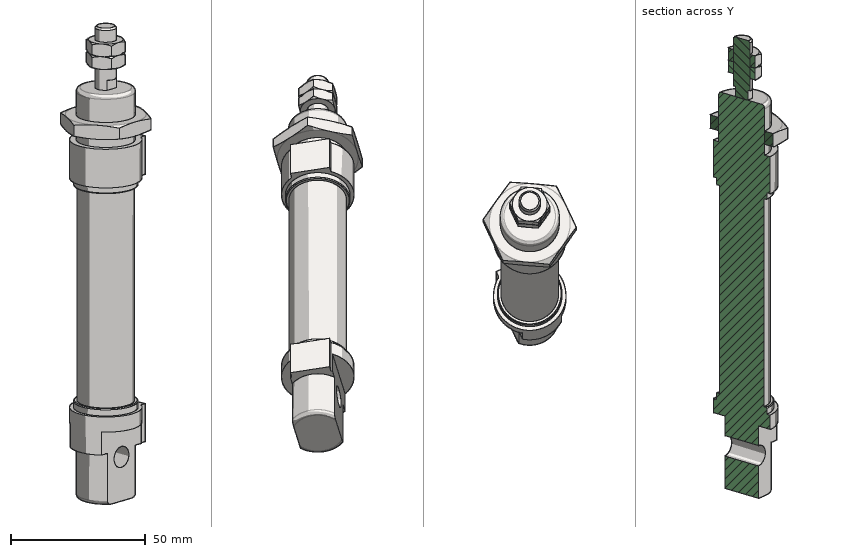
import cadquery as cq
import math

TOTAL_HEIGHT = 182.0
HEAD_TOP = 158.2
FRONT_CAP_TOP = 138.1
FRONT_CAP_BOTTOM = 123.2
REAR_CAP_TOP = 34.8
REAR_CAP_BOTTOM = 20.0
COLLAR_HEIGHT = 2.7
COLLAR_CHAMFER = 0.4
TONGUE_TOP = 29.0
PIVOT_HEIGHT = 17.1

TUBE_DIAMETER = 21.5
COLLAR_DIAMETER = 24.0
CAP_DIAMETER = 27.0
HEAD_DIAMETER = 22.0
END_FILLET = 1.5
SIDE_BOSS_WIDTH = 15.0
TONGUE_THICKNESS = 16.0
PIVOT_DIAMETER = 8.0

ROD_DIAMETER = 8.0
ROD_END_DIAMETER = 6.7
ROD_CHAMFER_HEIGHT = 0.7
ROD_FLAT_HEIGHT = 3.8
ROD_ACROSS_FLATS = 6.2

MOUNT_NUT_BOTTOM = 142.3
MOUNT_NUT_HEIGHT = 5.5
MOUNT_NUT_ACROSS_FLATS = 30.0
MOUNT_NUT_CHAMFER_ANGLE = 15
ROD_NUT_BOTTOM = 166.9
ROD_NUT_HEIGHT = 5.0
ROD_NUT_ACROSS_FLATS = 13.0
ROD_NUT_CHAMFER_ANGLE = 30
ROD_NUT_COUNT = 2


def make_housing():
    """Tube with its two end caps, round head and flat-sided pivot tongue."""
    head_radius = HEAD_DIAMETER / 2
    cap_radius = CAP_DIAMETER / 2
    tube_radius = TUBE_DIAMETER / 2
    collar_radius = COLLAR_DIAMETER / 2
    collar_edge_radius = collar_radius - COLLAR_CHAMFER
    rear_collar_top = REAR_CAP_TOP + COLLAR_HEIGHT
    front_collar_bottom = FRONT_CAP_BOTTOM - COLLAR_HEIGHT
    profile = [
        (0, 0),
        (head_radius, 0),
        (head_radius, REAR_CAP_BOTTOM),
        (cap_radius, REAR_CAP_BOTTOM),
        (cap_radius, REAR_CAP_TOP),
        (collar_radius, REAR_CAP_TOP),
        (collar_radius, rear_collar_top - COLLAR_CHAMFER),
        (collar_edge_radius, rear_collar_top),
        (tube_radius, rear_collar_top),
        (tube_radius, front_collar_bottom),
        (collar_edge_radius, front_collar_bottom),
        (collar_radius, front_collar_bottom + COLLAR_CHAMFER),
        (collar_radius, FRONT_CAP_BOTTOM),
        (cap_radius, FRONT_CAP_BOTTOM),
        (cap_radius, FRONT_CAP_TOP),
        (head_radius, FRONT_CAP_TOP),
        (head_radius, HEAD_TOP),
        (0, HEAD_TOP),
    ]
    body = cq.Workplane("XZ").polyline(profile).close().revolve(360, (0, 0), (0, 1))
    body = body.faces("<Z or >Z").edges().fillet(END_FILLET)
    body = body.union(side_boss(FRONT_CAP_BOTTOM, FRONT_CAP_TOP))
    body = body.union(side_boss(REAR_CAP_BOTTOM, REAR_CAP_TOP))
    for side in (-1, 1):
        body = body.cut(side_cut(side, TONGUE_THICKNESS, 0, TONGUE_TOP))
    pivot_hole = (
        cq.Workplane("YZ")
        .center(0, PIVOT_HEIGHT)
        .circle(PIVOT_DIAMETER / 2)
        .extrude(CAP_DIAMETER, both=True)
    )
    return body.cut(pivot_hole)


def side_boss(bottom, top):
    """Flat-faced block that squares off the +Y side of an end cap."""
    depth = CAP_DIAMETER / 2
    return (
        cq.Workplane("XY", origin=(0, depth / 2, bottom))
        .rect(SIDE_BOSS_WIDTH, depth)
        .extrude(top - bottom)
    )


def side_cut(side, across_flats, bottom, top):
    """Block that leaves a flat at half of across_flats on the given X side."""
    size = 2 * CAP_DIAMETER
    return (
        cq.Workplane("XY", origin=(side * (across_flats + size) / 2, 0, bottom))
        .rect(size, size)
        .extrude(top - bottom)
    )


def make_rod():
    """Piston rod standing on the head, with wrench flats and a chamfered tip."""
    radius = ROD_DIAMETER / 2
    profile = [
        (0, HEAD_TOP),
        (radius, HEAD_TOP),
        (radius, TOTAL_HEIGHT - ROD_CHAMFER_HEIGHT),
        (ROD_END_DIAMETER / 2, TOTAL_HEIGHT),
        (0, TOTAL_HEIGHT),
    ]
    rod = cq.Workplane("XZ").polyline(profile).close().revolve(360, (0, 0), (0, 1))
    for side in (-1, 1):
        rod = rod.cut(side_cut(side, ROD_ACROSS_FLATS, HEAD_TOP, HEAD_TOP + ROD_FLAT_HEIGHT))
    return rod


def make_nut(across_flats, height, chamfer_angle, bore_diameter, bottom):
    """Hexagon nut with corners on the Y axis, both ends chamfered by a cone."""
    face_radius = across_flats / 2
    corner_radius = face_radius / math.cos(math.pi / 6)
    chamfer_height = (corner_radius - face_radius) * math.tan(math.radians(chamfer_angle))
    hexagon = (
        cq.Workplane("XY")
        .polygon(6, 2 * corner_radius)
        .extrude(height)
        .rotate((0, 0, 0), (0, 0, 1), 30)
    )
    chamfer_profile = [
        (0, 0),
        (face_radius, 0),
        (corner_radius, chamfer_height),
        (corner_radius, height - chamfer_height),
        (face_radius, height),
        (0, height),
    ]
    envelope = cq.Workplane("XZ").polyline(chamfer_profile).close().revolve(360, (0, 0), (0, 1))
    bore = cq.Workplane("XY").circle(bore_diameter / 2).extrude(height)
    return hexagon.intersect(envelope).cut(bore).translate((0, 0, bottom))


housing = make_housing()
piston_rod = make_rod()
mounting_nut = make_nut(
    MOUNT_NUT_ACROSS_FLATS, MOUNT_NUT_HEIGHT, MOUNT_NUT_CHAMFER_ANGLE, HEAD_DIAMETER, MOUNT_NUT_BOTTOM
)
rod_nuts = []
for index in range(ROD_NUT_COUNT):
    nut_bottom = ROD_NUT_BOTTOM + index * ROD_NUT_HEIGHT
    rod_nut = make_nut(
        ROD_NUT_ACROSS_FLATS, ROD_NUT_HEIGHT, ROD_NUT_CHAMFER_ANGLE, ROD_DIAMETER, nut_bottom
    )
    rod_nuts.append(rod_nut)

result = cq.Compound.makeCompound(
    [housing.val(), piston_rod.val(), mounting_nut.val(), *[nut.val() for nut in rod_nuts]]
)